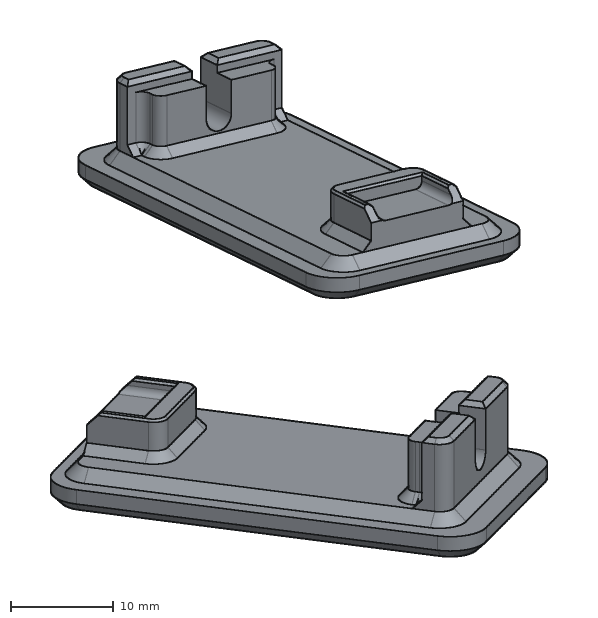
import cadquery as cq
plate_length = 45.0
plate_width = 24.75
plate_height = 2.5
plate_corner_radius = 3.75
plate_bottom_chamfer = 1.0

panel_flare = 1.25
panel_right = 20.1
panel_left = -panel_right + panel_flare
panel_half_width = 9.25
panel_corner_radius = 1.5
panel_top = plate_height + panel_flare

foot_flare = 1.0

foot_embed = 0.5

wall_thickness = 2.8
wall_right = panel_left + wall_thickness
wall_top = 11.3
wall_top_chamfer = 0.5

rib_depth = 2.42
rib_right = wall_right + rib_depth
rib_half_width = 7.25
rib_corner_radius = 1.0
rib_top = 10.0

notch_radius = 1.5
notch_bottom = 5.0

pad_left = 12.2
pad_half_width = 5.5
pad_corner_radius = 1.5
pad_top = 8.0
pad_top_chamfer = 0.25
pad_end_bevel = 1.4

trough_left = 14.5
trough_half_width = 4.5
trough_floor = 6.5
trough_fillet = 0.75
trough_rim_chamfer = 0.25


def box(x_min, x_max, half_width, z_min, z_max):
    """Box that is symmetric about the XZ plane."""
    return (
        cq.Workplane("XY", origin=((x_min + x_max) / 2, 0, z_min))
        .rect(x_max - x_min, 2 * half_width)
        .extrude(z_max - z_min)
    )


def rounded_box(x_min, x_max, half_width, z_min, z_max, corner_radius, corners="|Z"):
    """Symmetric box with the chosen upright edges rounded."""
    block = box(x_min, x_max, half_width, z_min, z_max)
    return block.edges(corners).fillet(corner_radius)


def flared_foot(x_min, x_max, half_width, corner_radius, z_base, flare):
    """Rounded block whose 45 degree sides narrow to the given outline at its top.

    The block reaches below z_base so that it joins the body underneath.
    """
    return (
        rounded_box(
            x_min - flare,
            x_max + flare,
            half_width + flare,
            z_base - foot_embed,
            z_base + flare,
            corner_radius + flare,
        )
        .faces(">Z")
        .chamfer(flare)
    )


def make_plate():
    half_length = plate_length / 2
    plate = rounded_box(
        -half_length, half_length, plate_width / 2, 0, plate_height, plate_corner_radius
    )
    return plate.faces("<Z").chamfer(plate_bottom_chamfer)


def make_panel():
    return flared_foot(
        panel_left, panel_right, panel_half_width, panel_corner_radius, plate_height, panel_flare
    )


def make_notch(x_min, x_max):
    """Cutter for the round-bottomed notch, open at the top."""
    axis_height = notch_bottom + notch_radius
    bottom = (
        cq.Workplane("YZ", origin=(x_min, 0, axis_height))
        .circle(notch_radius)
        .extrude(x_max - x_min)
    )
    return bottom.union(box(x_min, x_max, notch_radius, axis_height, wall_top))


def make_wall():
    wall = rounded_box(
        panel_left, wall_right, panel_half_width, plate_height, wall_top, panel_corner_radius, "|Z and <X"
    )
    wall = wall.cut(make_notch(panel_left, wall_right))
    return wall.faces(">Z").chamfer(wall_top_chamfer)


def make_inner_corner(side):
    """Concave rounding between the wall and one side of the rib, and the bevel at its foot.

    The bevel narrows to a point at panel level, so it is a cone cut from the corner.
    """
    axis_x = wall_right + rib_corner_radius
    axis_y = side * (rib_half_width + rib_corner_radius)
    foot_top = panel_top + foot_flare
    corner = (
        cq.Workplane("XY", origin=(axis_x, axis_y, panel_top))
        .rect(2 * rib_corner_radius, 2 * rib_corner_radius)
        .extrude(rib_top - panel_top)
        .intersect(box(wall_right, axis_x, abs(axis_y), panel_top, rib_top))
    )
    hollow = (
        cq.Workplane("XZ", origin=(axis_x, axis_y, 0))
        .moveTo(0, panel_top)
        .lineTo(rib_corner_radius, foot_top)
        .lineTo(rib_corner_radius, rib_top)
        .lineTo(0, rib_top)
        .close()
        .revolve(360, (0, 0, 0), (0, 1, 0))
    )
    return corner.cut(hollow)


def make_wall_bevel():
    """Sloped strip along the foot of the wall, on the rib side."""
    return (
        cq.Workplane("XZ", origin=(0, panel_half_width, 0))
        .moveTo(wall_right, panel_top)
        .lineTo(wall_right + foot_flare, panel_top)
        .lineTo(wall_right, panel_top + foot_flare)
        .close()
        .extrude(2 * panel_half_width)
        .cut(box(wall_right, rib_right, rib_half_width + rib_corner_radius, panel_top, rib_top))
    )


def make_rib():
    rib = rounded_box(
        panel_left,
        rib_right,
        rib_half_width,
        panel_top,
        rib_top,
        rib_corner_radius,
        "|Z and >X",
    )
    foot = flared_foot(
        wall_right, rib_right, rib_half_width, rib_corner_radius, panel_top, foot_flare
    )
    inner_zone = box(panel_left, wall_right + rib_corner_radius, plate_width, 0, rib_top)
    rib = rib.union(foot.cut(inner_zone))
    for side in (-1, 1):
        rib = rib.union(make_inner_corner(side))
    rib = rib.union(make_wall_bevel())
    return rib.cut(make_notch(panel_left, rib_right))


def make_trough():
    """Cutter for the trough, with rounded lower side edges and a chamfered rim."""
    trough_right = plate_length / 2
    trough = (
        box(trough_left, trough_right, trough_half_width, trough_floor, pad_top)
        .edges("|X and <Z")
        .fillet(trough_fillet)
    )
    rim = (
        cq.Workplane("XY", origin=((trough_left + trough_right) / 2, 0, pad_top - trough_rim_chamfer))
        .rect(trough_right - trough_left, 2 * trough_half_width)
        .workplane(offset=trough_rim_chamfer)
        .rect(
            trough_right - trough_left + 2 * trough_rim_chamfer,
            2 * (trough_half_width + trough_rim_chamfer),
        )
        .loft(ruled=True)
    )
    return trough.union(rim)


def make_pad():
    """Pad flush with the panel's right edge, with a bevelled end and a flared foot."""
    pad = rounded_box(
        pad_left, panel_right, pad_half_width, panel_top, pad_top, pad_corner_radius, "|Z and <X"
    )
    pad = pad.faces(">Z").edges("not >X").chamfer(pad_top_chamfer)
    bevel = (
        cq.Workplane("XZ", origin=(0, pad_half_width, 0))
        .moveTo(panel_right - pad_end_bevel, pad_top)
        .lineTo(panel_right, pad_top)
        .lineTo(panel_right, pad_top - pad_end_bevel)
        .close()
        .extrude(2 * pad_half_width)
    )
    foot = flared_foot(
        pad_left, panel_right + pad_corner_radius, pad_half_width, pad_corner_radius, panel_top, foot_flare
    )
    overhang = box(panel_right, plate_length, plate_width, 0, pad_top)
    return pad.cut(bevel).cut(make_trough()).union(foot.cut(overhang))


result = make_plate().union(make_panel()).union(make_wall()).union(make_rib()).union(make_pad())